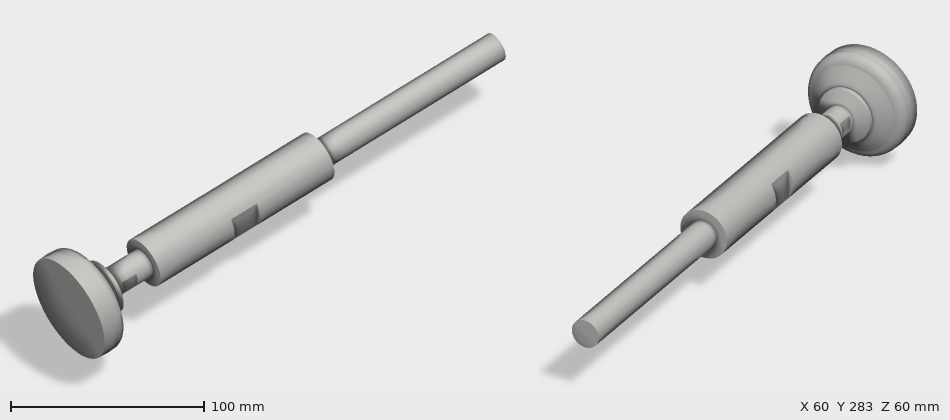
import cadquery as cq
import math

TOTAL_LENGTH = 283.0

FOOT_DIAMETER = 60.0
FOOT_BASE_DIAMETER = 59.1
RIM_HEIGHT = 6.0
SHOULDER_START_HEIGHT = 8.5
SHOULDER_START_RADIUS = 29.7
SHOULDER_END_HEIGHT = 15.3
SHOULDER_END_RADIUS = 25.0
SHOULDER_BULGE = 1.7
COLLAR_RADIUS = 15.3
COLLAR_BOTTOM = 21.5
GROOVE_BOTTOM = 20.7
GROOVE_RADIUS = 14.5
COLLAR_TOP = 24.0
FOOT_HEIGHT = 28.0
FOOT_TOP_RADIUS = 8.5

ROD_DIAMETER = 16.0
SLEEVE_DIAMETER = 28.0
SLEEVE_START = 49.5
SLEEVE_LENGTH = 115.2

ROD_ACROSS_FLATS = 13.0
ROD_FLATS_START = 29.7
ROD_FLATS_LENGTH = 9.5
SLEEVE_ACROSS_FLATS = 22.0
SLEEVE_FLATS_LENGTH = 17.0
SLEEVE_FLATS_START = SLEEVE_START + (SLEEVE_LENGTH - SLEEVE_FLATS_LENGTH) / 2


def rod_along_y(diameter, start, length):
    """Round bar on the Y axis, growing toward +Y."""
    base = cq.Workplane("XZ", origin=(0, start, 0))
    return base.circle(diameter / 2).extrude(-length)


def wrench_flats(body, diameter, across_flats, start, length):
    """Cut two opposite flats into a round section of the body."""
    depth = (diameter - across_flats) / 2
    for side in (-1, 1):
        center_x = side * (across_flats + depth) / 2
        cutter = cq.Workplane("XY").box(depth, length, diameter)
        body = body.cut(cutter.translate((center_x, start + length / 2, 0)))
    return body


def make_foot():
    """Round foot plate with a bulged shoulder, a thin groove and a small collar below the stem."""
    rise = SHOULDER_END_HEIGHT - SHOULDER_START_HEIGHT
    run = SHOULDER_START_RADIUS - SHOULDER_END_RADIUS
    chord = math.hypot(rise, run)
    bulge_point = (
        (SHOULDER_START_RADIUS + SHOULDER_END_RADIUS) / 2 + SHOULDER_BULGE * rise / chord,
        (SHOULDER_START_HEIGHT + SHOULDER_END_HEIGHT) / 2 + SHOULDER_BULGE * run / chord,
    )
    profile = (
        cq.Workplane("XY")
        .lineTo(FOOT_BASE_DIAMETER / 2, 0)
        .lineTo(FOOT_DIAMETER / 2, RIM_HEIGHT)
        .lineTo(SHOULDER_START_RADIUS, SHOULDER_START_HEIGHT)
        .threePointArc(bulge_point, (SHOULDER_END_RADIUS, SHOULDER_END_HEIGHT))
        .lineTo(COLLAR_RADIUS, GROOVE_BOTTOM)
        .lineTo(GROOVE_RADIUS, GROOVE_BOTTOM)
        .lineTo(GROOVE_RADIUS, COLLAR_BOTTOM)
        .lineTo(COLLAR_RADIUS, COLLAR_BOTTOM)
        .lineTo(COLLAR_RADIUS, COLLAR_TOP)
        .lineTo(FOOT_TOP_RADIUS, FOOT_HEIGHT)
        .lineTo(0, FOOT_HEIGHT)
        .close()
    )
    return profile.revolve(360, (0, 0, 0), (0, 1, 0))


def make_stem():
    """Rod standing on the foot, with its sleeve section and both pairs of flats."""
    rod = rod_along_y(ROD_DIAMETER, FOOT_HEIGHT, TOTAL_LENGTH - FOOT_HEIGHT)
    rod = wrench_flats(rod, ROD_DIAMETER, ROD_ACROSS_FLATS, ROD_FLATS_START, ROD_FLATS_LENGTH)
    sleeve = rod_along_y(SLEEVE_DIAMETER, SLEEVE_START, SLEEVE_LENGTH)
    sleeve = wrench_flats(
        sleeve, SLEEVE_DIAMETER, SLEEVE_ACROSS_FLATS, SLEEVE_FLATS_START, SLEEVE_FLATS_LENGTH
    )
    return rod.union(sleeve)


foot = make_foot()
stem = make_stem()

result = cq.Compound.makeCompound([foot.val(), stem.val()])